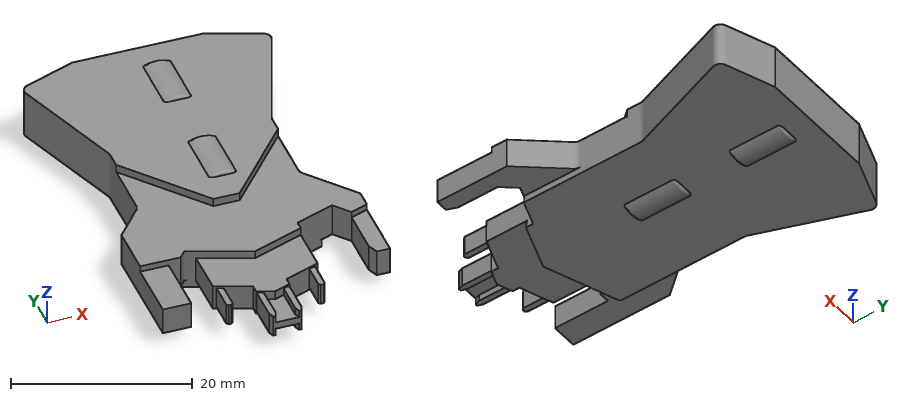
import cadquery as cq
import math


TAN_SHALLOW = math.tan(math.radians(20))
COS_SHALLOW = math.cos(math.radians(20))
SIN_SHALLOW = math.sin(math.radians(20))
TAN_STEEP = math.tan(math.radians(50))

BODY_HEIGHT = 6.0
BOTTOM_PLATE_TOP = 0.95
MIDDLE_TOP = 5.0
ARM_TOP = 4.25
TONGUE_TOP = 4.05
MID_HEIGHT = (BOTTOM_PLATE_TOP + TONGUE_TOP) / 2

HEAD_HALF_WIDTH = 28.95 / 2
HEAD_REAR_HALF_WIDTH = 7.7
HEAD_CORNER_RADIUS = 1.0
NECK_HALF_WIDTH = 9.5
NECK_START_Y = -17.0
NECK_BLEND_RADIUS = 1.75

TOP_PLATE_FRONT_Y = -28.5
TOP_PLATE_FRONT_HALF_WIDTH = 1.55

SHOULDER_Y = -25.95
SHOULDER_BLEND_RADIUS = 1.0
LEFT_ARM_OUTER_X = -12.85
LEFT_ARM_INNER_X = -NECK_HALF_WIDTH
LEFT_ARM_STEP_Y = -35.97
LEFT_ARM_TIP_Y = -43.25
RIGHT_ARM_OUTER_X = HEAD_HALF_WIDTH
RIGHT_ARM_INNER_X = 12.4
RIGHT_ARM_TIP_Y = -41.45
RIGHT_ARM_TIP_CHAMFER_X = 0.5
RIGHT_ARM_TIP_CHAMFER_Y = 1.25

V_APEX_Y = -37.75
V_JOG = 1.0
LEFT_NOTCH_X = -7.35
RIGHT_NOTCH_X = 10.8
SMALL_RADIUS = 0.3

TONGUE_HALF_WIDTH = 6.15
TONGUE_LENGTH = 5.45
NOSE_HALF_WIDTH = 1.97
NOSE_LENGTH = 0.95

BLADE_WIDTH = 0.75
BLADE_TIP_WIDTH = 0.3
BLADE_HEIGHT = 2.65
PIN_CENTRE_X = 5.4
PIN_TIP_Y = -44.5
PIN_TAPER = 0.25
PLUG_HALF_WIDTH = 1.9
PLUG_TIP_Y = -48.1
PLUG_TAPER = 0.65
WEB_THICKNESS = 0.9

INSERT_RADIUS = 3.4
INSERT_LENGTH = 7.15
INSERT_X = 0.95
INSERT_REAR_YS = (-3.2, -17.7)
INSERT_FILLET = 0.3


def v_edge(x):
    """Y of the V-shaped front edge at a given X."""
    return V_APEX_Y + abs(x) * TAN_SHALLOW


def outline_prism(corners, bottom, top):
    """Extrude a closed outline of (x, y, corner radius) between two heights."""
    wire = None
    for index, (x, y, radius) in enumerate(corners):
        here = cq.Vector(x, y)
        before = cq.Vector(*corners[index - 1][:2])
        after = cq.Vector(*corners[(index + 1) % len(corners)][:2])
        to_before = (before - here).normalized()
        to_after = (after - here).normalized()
        half_angle = to_before.getAngle(to_after) / 2
        setback = radius / math.tan(half_angle)
        start = here + to_before * setback
        if wire is None:
            wire = cq.Workplane("XY").workplane(offset=bottom).moveTo(start.x, start.y)
        else:
            wire = wire.lineTo(start.x, start.y)
        if radius > 0:
            end = here + to_after * setback
            bisector = (to_before + to_after).normalized()
            middle = here + bisector * (radius / math.sin(half_angle) - radius)
            wire = wire.threePointArc((middle.x, middle.y), (end.x, end.y))
    return wire.close().extrude(top - bottom)


def rear_half(side):
    """Corners of the head and the start of the neck on one side, rear to front."""
    overhang = HEAD_CORNER_RADIUS * (COS_SHALLOW + SIN_SHALLOW - 1)
    corner_x = HEAD_HALF_WIDTH + overhang
    corner_y = -(corner_x - HEAD_REAR_HALF_WIDTH) * TAN_SHALLOW
    return [
        (side * HEAD_REAR_HALF_WIDTH, 0, 0),
        (side * corner_x, corner_y, HEAD_CORNER_RADIUS),
        (side * NECK_HALF_WIDTH, NECK_START_Y, NECK_BLEND_RADIUS),
    ]


def head_prism(front_corners, bottom, top):
    """Layer with the common head and neck, closed by front corners listed right to left."""
    left_side = list(reversed(rear_half(-1)))
    return outline_prism(rear_half(1) + front_corners + left_side, bottom, top)


def make_top_plate():
    side_y = TOP_PLATE_FRONT_Y + (NECK_HALF_WIDTH - TOP_PLATE_FRONT_HALF_WIDTH) * TAN_STEEP
    front = [
        (NECK_HALF_WIDTH, side_y, 0),
        (TOP_PLATE_FRONT_HALF_WIDTH, TOP_PLATE_FRONT_Y, 0),
        (-TOP_PLATE_FRONT_HALF_WIDTH, TOP_PLATE_FRONT_Y, 0),
        (-NECK_HALF_WIDTH, side_y, 0),
    ]
    return head_prism(front, MIDDLE_TOP, BODY_HEIGHT)


def make_bottom_plate():
    jog_y = v_edge(TONGUE_HALF_WIDTH)
    front = [
        (NECK_HALF_WIDTH, v_edge(NECK_HALF_WIDTH) + V_JOG, SMALL_RADIUS),
        (TONGUE_HALF_WIDTH, jog_y + V_JOG, SMALL_RADIUS),
        (TONGUE_HALF_WIDTH, jog_y, SMALL_RADIUS),
        (0, V_APEX_Y, SMALL_RADIUS),
        (-NECK_HALF_WIDTH, v_edge(NECK_HALF_WIDTH), SMALL_RADIUS),
    ]
    return head_prism(front, 0, BOTTOM_PLATE_TOP)


def make_middle():
    """Middle layer: shoulders, both arm roots and the V-shaped front edge."""
    jog_y = v_edge(TONGUE_HALF_WIDTH)
    right_notch_y = v_edge(RIGHT_NOTCH_X) + V_JOG
    right_root_y = right_notch_y - (RIGHT_ARM_INNER_X - RIGHT_NOTCH_X) * TAN_STEEP
    right_step_y = right_root_y + (RIGHT_ARM_OUTER_X - RIGHT_ARM_INNER_X) * TAN_SHALLOW
    right_shoulder_y = SHOULDER_Y - (RIGHT_ARM_OUTER_X - NECK_HALF_WIDTH) * TAN_STEEP
    left_notch_y = v_edge(LEFT_NOTCH_X)
    left_root_x = LEFT_NOTCH_X - (left_notch_y - LEFT_ARM_STEP_Y) / TAN_STEEP
    left_shoulder_y = SHOULDER_Y + (LEFT_ARM_OUTER_X + NECK_HALF_WIDTH) * TAN_STEEP
    front = [
        (NECK_HALF_WIDTH, SHOULDER_Y, SHOULDER_BLEND_RADIUS),
        (RIGHT_ARM_OUTER_X, right_shoulder_y, 0),
        (RIGHT_ARM_OUTER_X, right_step_y, 0),
        (RIGHT_ARM_INNER_X, right_root_y, 0),
        (RIGHT_NOTCH_X, right_notch_y, 0),
        (TONGUE_HALF_WIDTH, jog_y + V_JOG, 0),
        (TONGUE_HALF_WIDTH, jog_y, 0),
        (0, V_APEX_Y, 0),
        (LEFT_NOTCH_X, left_notch_y, SMALL_RADIUS),
        (left_root_x, LEFT_ARM_STEP_Y, 0),
        (LEFT_ARM_OUTER_X, LEFT_ARM_STEP_Y, 0),
        (LEFT_ARM_OUTER_X, left_shoulder_y, 0),
        (-NECK_HALF_WIDTH, SHOULDER_Y, SHOULDER_BLEND_RADIUS),
    ]
    layer = head_prism(front, BOTTOM_PLATE_TOP, MIDDLE_TOP)

    right_arm = [
        (RIGHT_ARM_OUTER_X, right_shoulder_y, 0),
        (RIGHT_ARM_OUTER_X, RIGHT_ARM_TIP_Y, 0),
        (RIGHT_ARM_INNER_X + RIGHT_ARM_TIP_CHAMFER_X, RIGHT_ARM_TIP_Y, 0),
        (RIGHT_ARM_INNER_X, RIGHT_ARM_TIP_Y + RIGHT_ARM_TIP_CHAMFER_Y, 0),
        (RIGHT_ARM_INNER_X, right_root_y, 0),
    ]
    left_arm = [
        (LEFT_ARM_INNER_X, left_shoulder_y, 0),
        (LEFT_ARM_INNER_X, LEFT_ARM_TIP_Y, 0),
        (LEFT_ARM_OUTER_X, LEFT_ARM_TIP_Y, 0),
        (LEFT_ARM_OUTER_X, left_shoulder_y, 0),
    ]
    for arm in (right_arm, left_arm):
        layer = layer.union(outline_prism(arm, BOTTOM_PLATE_TOP, ARM_TOP))
    return layer


def tongue_edge(x):
    """Y of the sloped front edge of the tongue at a given X."""
    return v_edge(x) - TONGUE_LENGTH


def make_tongue():
    nose_root_y = tongue_edge(NOSE_HALF_WIDTH)
    right_side = [
        (TONGUE_HALF_WIDTH, SHOULDER_Y, 0),
        (TONGUE_HALF_WIDTH, tongue_edge(TONGUE_HALF_WIDTH), 0),
        (NOSE_HALF_WIDTH, nose_root_y, 0),
        (NOSE_HALF_WIDTH, nose_root_y - NOSE_LENGTH, 0),
    ]
    apex = [(0, tongue_edge(0) - NOSE_LENGTH, 0)]
    left_side = [(-x, y, radius) for x, y, radius in reversed(right_side)]
    return outline_prism(right_side + apex + left_side, BOTTOM_PLATE_TOP, TONGUE_TOP)


def make_blade(centre_x, tip_y, taper):
    """Upright blade with a tapered tip, rooted inside the tongue."""
    half = BLADE_WIDTH / 2
    half_tip = BLADE_TIP_WIDTH / 2
    corners = [
        (centre_x + half, V_APEX_Y, 0),
        (centre_x + half, tip_y + taper, 0),
        (centre_x + half_tip, tip_y, 0),
        (centre_x - half_tip, tip_y, 0),
        (centre_x - half, tip_y + taper, 0),
        (centre_x - half, V_APEX_Y, 0),
    ]
    return outline_prism(corners, MID_HEIGHT - BLADE_HEIGHT / 2, MID_HEIGHT + BLADE_HEIGHT / 2)


def make_contacts():
    """Two outer pins and the H-section plug between them."""
    wall_x = PLUG_HALF_WIDTH - BLADE_WIDTH / 2
    web_length = V_APEX_Y - PLUG_TIP_Y
    contacts = cq.Workplane("XY").box(2 * wall_x, web_length, WEB_THICKNESS)
    contacts = contacts.translate((0, PLUG_TIP_Y + web_length / 2, MID_HEIGHT))
    for side in (-1, 1):
        contacts = contacts.union(make_blade(side * wall_x, PLUG_TIP_Y, PLUG_TAPER))
        contacts = contacts.union(make_blade(side * PIN_CENTRE_X, PIN_TIP_Y, PIN_TAPER))
    return contacts


def make_insert(rear_y):
    """Cylinder along Y, bulging slightly through the top and bottom faces."""
    plane = cq.Workplane("XZ", origin=(INSERT_X, rear_y, BODY_HEIGHT / 2))
    return plane.circle(INSERT_RADIUS).extrude(INSERT_LENGTH).edges().fillet(INSERT_FILLET)


result = make_bottom_plate().union(make_middle()).union(make_top_plate())
result = result.union(make_tongue()).union(make_contacts())
for insert_rear_y in INSERT_REAR_YS:
    result = result.union(make_insert(insert_rear_y))